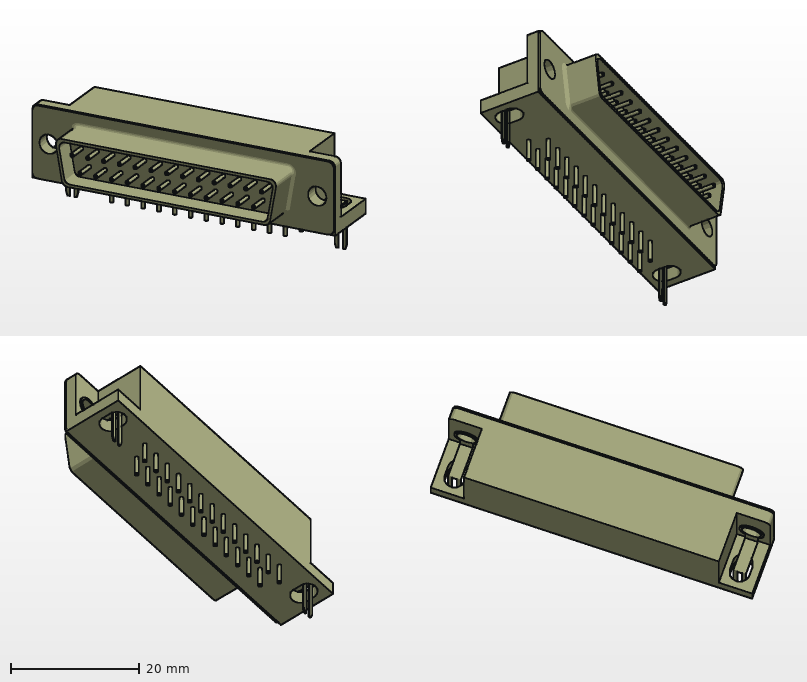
import cadquery as cq
import math


FLANGE_LENGTH = 53.1
FLANGE_HEIGHT = 12.5
FLANGE_DEPTH = 2.3
PLATE_THICKNESS = 0.3
PLATE_EDGE_INSET = 0.1
CORNER_RADIUS = 1.0
SCREW_HOLE_DIAMETER = 3.2
SCREW_HOLE_X = 23.55

BODY_LENGTH = 42.1
BODY_DEPTH = 8.5
LEDGE_HEIGHT = 2.5
SLOT_WIDTH = 3.2
SLOT_LENGTH = 4.6
SLOT_BACK_GAP = 1.15

SHELL_TOP_LENGTH = 39.0
SHELL_HEIGHT = 7.9
SHELL_PROJECTION = 5.78
SHELL_WALL = 0.5
SHELL_CORNER_RADIUS = 1.0
SHELL_SIDE_ANGLE = 10.0
SHELL_ROOT_RADIUS = 0.6
SHELL_FLOOR_Y = -2.25

CONTACT_COUNT = 25
CONTACT_PITCH = 2.77
ROW_SPACING = 2.84
PIN_DIAMETER = 0.64
CONTACT_PROJECTION = 5.65
PIN_TIP_CHAMFER = 0.15
TAIL_LENGTH = 3.9
TAIL_BACK_ROW_INSET = 2.72
TAIL_ROW_SPACING = 2.77

CLIP_THICKNESS = 0.25
CLIP_RING_DIAMETER = 4.0
CLIP_STRAP_WIDTH = 2.1
CLIP_LEG_WIDTH = 0.65
CLIP_LEG_LENGTH = 5.4
CLIP_TIP_HEIGHT = 0.8
CLIP_TIP_STEP = 0.25
CLIP_BACK_INSET = 2.6
CLIP_BEND_RADIUS = 0.2

HALF_HEIGHT = FLANGE_HEIGHT / 2
BOTTOM_Z = -HALF_HEIGHT
LEDGE_TOP_Z = BOTTOM_Z + LEDGE_HEIGHT
BACK_Y = FLANGE_DEPTH + BODY_DEPTH
PIN_RADIUS = PIN_DIAMETER / 2
SELECTION_MARGIN = 0.01


def block(x_range, y_range, z_range):
    """Axis-aligned box between pairs of limits."""
    size = [high - low for low, high in (x_range, y_range, z_range)]
    corner = (x_range[0], y_range[0], z_range[0])
    return cq.Workplane("XY").box(*size, centered=False).translate(corner)


def make_flange():
    half_length = FLANGE_LENGTH / 2
    x_range = (-half_length, half_length)
    moulding = block(x_range, (PLATE_THICKNESS, FLANGE_DEPTH), (BOTTOM_Z, HALF_HEIGHT))
    moulding = moulding.edges("|Y and >Z").fillet(CORNER_RADIUS)
    plate_x = half_length - PLATE_EDGE_INSET
    plate_z = HALF_HEIGHT - PLATE_EDGE_INSET
    plate = block((-plate_x, plate_x), (0, PLATE_THICKNESS), (-plate_z, plate_z))
    plate = plate.edges("|Y").fillet(CORNER_RADIUS)
    return moulding.union(plate)


def make_body():
    half_body = BODY_LENGTH / 2
    half_flange = FLANGE_LENGTH / 2
    y_range = (FLANGE_DEPTH, BACK_Y)
    body = block((-half_body, half_body), y_range, (BOTTOM_Z, HALF_HEIGHT))
    ledges = block((-half_flange, half_flange), y_range, (BOTTOM_Z, LEDGE_TOP_Z))
    return body.union(ledges)


def d_profile(inset):
    """D outline on the flange face, moved inwards by inset."""
    slope = math.tan(math.radians(SHELL_SIDE_ANGLE))
    half_height = SHELL_HEIGHT / 2 - inset
    side_inset = inset / math.cos(math.radians(SHELL_SIDE_ANGLE))
    middle_x = SHELL_TOP_LENGTH / 2 - SHELL_HEIGHT / 2 * slope - side_inset
    top_x = middle_x + half_height * slope
    bottom_x = middle_x - half_height * slope
    corners = [
        (-bottom_x, -half_height),
        (bottom_x, -half_height),
        (top_x, half_height),
        (-top_x, half_height),
    ]
    return cq.Workplane("XZ").polyline(corners).close()


def make_d_prism(inset):
    """Solid D as long as the shell, with the same corner radius inside and out."""
    prism = d_profile(inset).extrude(SHELL_PROJECTION)
    return prism.edges("|Y").fillet(SHELL_CORNER_RADIUS)


def add_shell(part):
    part = part.union(make_d_prism(0))
    root = cq.selectors.BoxSelector(
        (-SHELL_TOP_LENGTH / 2, -SELECTION_MARGIN, -SHELL_HEIGHT / 2 - SELECTION_MARGIN),
        (SHELL_TOP_LENGTH / 2, SELECTION_MARGIN, SHELL_HEIGHT / 2 + SELECTION_MARGIN),
    )
    part = part.edges(root).fillet(SHELL_ROOT_RADIUS)
    return part.cut(make_d_prism(SHELL_WALL).translate((0, SHELL_FLOOR_Y, 0)))


def cut_screw_holes(part):
    holes = (
        cq.Workplane("XZ")
        .pushPoints([(-SCREW_HOLE_X, 0), (SCREW_HOLE_X, 0)])
        .circle(SCREW_HOLE_DIAMETER / 2)
        .extrude(-BACK_Y)
    )
    return part.cut(holes)


def cut_ledge_slots(part):
    slot_y = BACK_Y - SLOT_BACK_GAP - SLOT_LENGTH / 2
    slots = (
        cq.Workplane("XY", origin=(0, slot_y, BOTTOM_Z))
        .pushPoints([(-SCREW_HOLE_X, 0), (SCREW_HOLE_X, 0)])
        .slot2D(SLOT_LENGTH, SLOT_WIDTH, 90)
        .extrude(LEDGE_HEIGHT)
    )
    return part.cut(slots)


def make_contact(x, z):
    contact = cq.Workplane("XZ").center(x, z).circle(PIN_RADIUS).extrude(CONTACT_PROJECTION)
    return contact.faces("<Y").chamfer(PIN_TIP_CHAMFER)


def make_tail(x, y):
    start = cq.Workplane("XY", origin=(x, y, BOTTOM_Z))
    tail = start.circle(PIN_RADIUS).extrude(-TAIL_LENGTH)
    return tail.faces("<Z").chamfer(PIN_TIP_CHAMFER)


def add_pins(part):
    for index in range(CONTACT_COUNT):
        x = (index - (CONTACT_COUNT - 1) / 2) * CONTACT_PITCH / 2
        in_top_row = index % 2 == 0
        contact_z = ROW_SPACING / 2 if in_top_row else -ROW_SPACING / 2
        tail_y = BACK_Y - TAIL_BACK_ROW_INSET
        if not in_top_row:
            tail_y -= TAIL_ROW_SPACING
        part = part.union(make_contact(x, contact_z)).union(make_tail(x, tail_y))
    return part


def make_clip():
    """Clip centred on X = 0."""
    half_strap = CLIP_STRAP_WIDTH / 2
    strap_top = LEDGE_TOP_Z + CLIP_THICKNESS
    back_y = BACK_Y - CLIP_BACK_INSET
    front_y = FLANGE_DEPTH
    hole_radius = SCREW_HOLE_DIAMETER / 2

    ring = cq.Workplane("XZ", origin=(0, front_y, 0)).circle(CLIP_RING_DIAMETER / 2)
    ring = ring.extrude(-CLIP_THICKNESS)
    ring_y = (front_y, front_y + CLIP_THICKNESS)
    ring = ring.union(block((-half_strap, half_strap), ring_y, (LEDGE_TOP_Z, 0)))
    ring = ring.cut(cq.Workplane("XZ").circle(hole_radius).extrude(-BACK_Y))

    strap = block((-half_strap, half_strap), (front_y, back_y), (LEDGE_TOP_Z, strap_top))

    tip_z = BOTTOM_Z - CLIP_LEG_LENGTH
    inner_x = half_strap - CLIP_LEG_WIDTH
    leg_outline = [
        (inner_x, strap_top),
        (half_strap, strap_top),
        (half_strap, tip_z + CLIP_TIP_HEIGHT),
        (half_strap - CLIP_TIP_STEP, tip_z),
        (inner_x, tip_z),
    ]
    leg = cq.Workplane("XZ", origin=(0, back_y, 0)).polyline(leg_outline).close()
    leg = leg.extrude(CLIP_THICKNESS)
    bent_strap = strap.union(leg).union(leg.mirror("YZ"))
    bent_strap = bent_strap.edges("|X and >Y and >Z").fillet(CLIP_BEND_RADIUS)
    return ring.union(bent_strap)


def add_clips(part):
    clip = make_clip()
    for x in (-SCREW_HOLE_X, SCREW_HOLE_X):
        part = part.union(clip.translate((x, 0, 0)))
    return part


result = make_flange().union(make_body())
result = add_shell(result)
result = cut_screw_holes(result)
result = cut_ledge_slots(result)
result = add_pins(result)
result = add_clips(result)